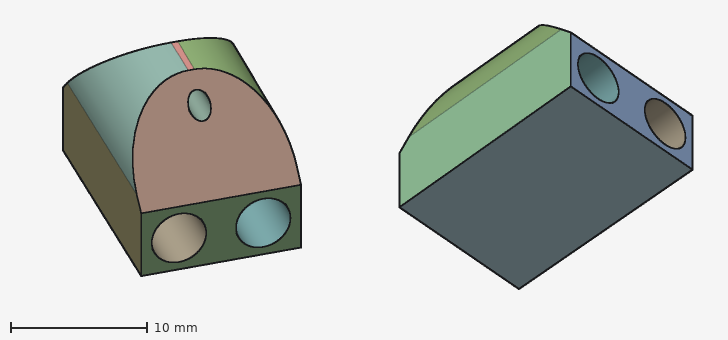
import cadquery as cq
import math

length = 18.0
height = 12.5
wide_end = 12.6
narrow_end = 12.37

edge_radius = 6.0
end_chamfer = 7.0

cord_diameter = 1.7
cord_height = 10.57

tube_diameter = 4.21
tube_height = 2.75
tube_entry_offset = 3.45
tube_exit_offset = 3.25


def tapered_block():
    """Block with a trapezoid plan, rounded on top and sloped at both ends."""
    plan = [
        (-length / 2, -wide_end / 2),
        (length / 2, -narrow_end / 2),
        (length / 2, narrow_end / 2),
        (-length / 2, wide_end / 2),
    ]
    block = cq.Workplane("XY").polyline(plan).close().extrude(height)
    block = block.faces(">Z").edges("not |Y").fillet(edge_radius)

    top_half_length = length / 2 - end_chamfer
    side_profile = [
        (-length / 2, 0),
        (length / 2, 0),
        (length / 2, height - end_chamfer),
        (top_half_length, height),
        (-top_half_length, height),
        (-length / 2, height - end_chamfer),
    ]
    envelope = cq.Workplane("XZ").polyline(side_profile).close().extrude(wide_end / 2, both=True)
    return block.intersect(envelope)


def cord_bore():
    """Straight bore along X."""
    return cq.Workplane("YZ").center(0, cord_height).circle(cord_diameter / 2).extrude(length / 2, both=True)


def tube_bore(side):
    """Slanted bore on the given side (+1 or -1) of the middle plane."""
    slant = (tube_exit_offset - tube_entry_offset) / length
    mid_offset = (tube_entry_offset + tube_exit_offset) / 2
    axis = cq.Vector(1, side * slant, 0).normalized()
    overshoot = tube_diameter
    bore_length = length * math.hypot(1, slant) + 2 * overshoot
    start = cq.Vector(0, side * mid_offset, tube_height) - axis * (bore_length / 2)
    return cq.Solid.makeCylinder(tube_diameter / 2, bore_length, start, axis)


result = tapered_block().cut(cord_bore())
for side in (-1, 1):
    result = result.cut(cq.Workplane(tube_bore(side)))